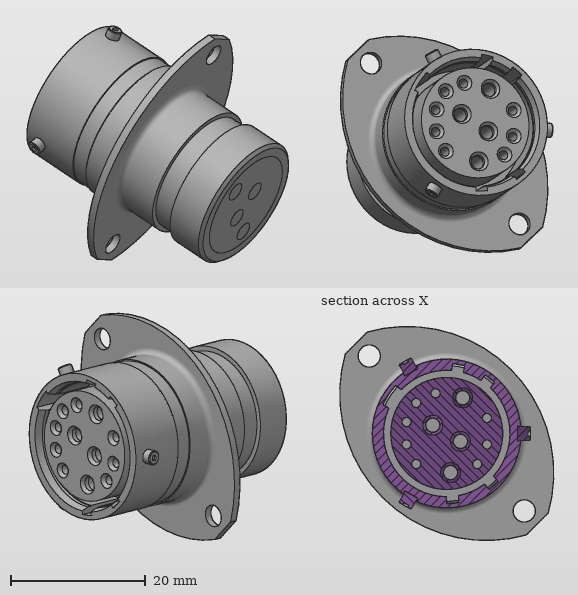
import cadquery as cq
import math


SHELL_LENGTH = 33.3
FRONT_RADIUS = 11.05
FRONT_GROOVE_RADIUS = 10.85
FRONT_GROOVE_START = 9.0
FRONT_GROOVE_END = 11.53
FLANGE_START = 16.0
FLANGE_THICKNESS = 1.2
FLANGE_END = FLANGE_START + FLANGE_THICKNESS
FLANGE_FILLET = 0.9
REAR_RADIUS = 10.25
REAR_GROOVE_RADIUS = 9.53
REAR_GROOVE_START = 23.88
REAR_GROOVE_END = 27.28
REAR_CHAMFER = 0.5

MOUTH_RADIUS = 9.85
THROAT_RADIUS = 9.45
SOCKET_RADIUS = 9.35
MOUTH_DEPTH = 1.15
THROAT_END = 1.85
SOCKET_DEPTH = 8.0
KEYWAY_RADIUS = 10.4
SHOULDER_CHAMFER = 0.33
KEYWAY_DEPTH = SOCKET_DEPTH + SHOULDER_CHAMFER
NARROW_KEYWAY_WIDTH = 1.75
WIDE_KEYWAY_WIDTH = 3.33
KEYWAYS = [
    (33.8, WIDE_KEYWAY_WIDTH),
    (99.8, NARROW_KEYWAY_WIDTH),
    (128.2, NARROW_KEYWAY_WIDTH),
    (227.8, NARROW_KEYWAY_WIDTH),
    (264.9, NARROW_KEYWAY_WIDTH),
]

FLANGE_ARC_RADIUS = 21.75
FLANGE_ARC_OFFSET = 5.85
FLANGE_TIP_DISTANCE = 19.0
MOUNTING_HOLE_RADIUS = 1.63
MOUNTING_HOLE_OFFSET = 11.5

PIN_COUNT = 3
PIN_STATION = 2.53
PIN_RADIUS = 1.05
PIN_ROOT = 10.53
PIN_TIP = 12.4
PIN_CHAMFER = 0.13
PIN_DIMPLE_RADIUS = 0.4
PIN_DIMPLE_DEPTH = 0.33

INSERT_RADIUS = 8.33
INSERT_FACE = 0.43
SHOULDER_RADIUS = KEYWAY_RADIUS
SHOULDER_THICKNESS = 2.0
SMALL_MOUTH_RADIUS = 1.13
SMALL_BORE_RADIUS = 0.65
SMALL_BORE_END = 6.65
LARGE_MOUTH_RADIUS = 1.43
LARGE_BORE_RADIUS = 1.03
LARGE_BORE_END = 6.65
MOUTH_TAPER_DEPTH = 0.55
CONTACT_START = 1.73
CONTACT_RADIUS = LARGE_MOUTH_RADIUS
LARGE_POSITIONS = [(-2.35, 5.3), (2.05, 1.23), (-2.03, -1.15), (-0.55, -5.8)]
SMALL_POSITIONS = [
    (1.65, 5.95),
    (4.53, 4.53),
    (5.95, 1.7),
    (5.95, -1.63),
    (4.53, -4.53),
    (-4.53, -4.53),
    (-5.95, -1.63),
    (-5.95, 2.3),
]


def axial_cylinder(radius, start, end, y=0.0, z=0.0):
    """Cylinder parallel to X between two stations."""
    return cq.Workplane("YZ", origin=(start, y, z)).circle(radius).extrude(end - start)


def axial_cone(start_radius, end_radius, start, end, y=0.0, z=0.0):
    """Truncated cone parallel to X between two stations."""
    base = cq.Vector(start, y, z)
    return cq.Workplane(cq.Solid.makeCone(start_radius, end_radius, end - start, base, cq.Vector(1, 0, 0)))


def make_barrel():
    """Turned outside of the shell, with both grooves and the concave blends into the flange."""
    blend = FLANGE_FILLET
    bulge = blend * (1 - math.sqrt(0.5))
    profile = (
        cq.Workplane("XY")
        .moveTo(0, 0)
        .lineTo(0, FRONT_RADIUS)
        .lineTo(FRONT_GROOVE_START, FRONT_RADIUS)
        .lineTo(FRONT_GROOVE_START, FRONT_GROOVE_RADIUS)
        .lineTo(FRONT_GROOVE_END, FRONT_GROOVE_RADIUS)
        .lineTo(FRONT_GROOVE_END, FRONT_RADIUS)
        .lineTo(FLANGE_START - blend, FRONT_RADIUS)
        .threePointArc(
            (FLANGE_START - bulge, FRONT_RADIUS + bulge),
            (FLANGE_START, FRONT_RADIUS + blend),
        )
        .lineTo(FLANGE_END, FRONT_RADIUS + blend)
        .lineTo(FLANGE_END, REAR_RADIUS + blend)
        .threePointArc(
            (FLANGE_END + bulge, REAR_RADIUS + bulge),
            (FLANGE_END + blend, REAR_RADIUS),
        )
        .lineTo(REAR_GROOVE_START, REAR_RADIUS)
        .lineTo(REAR_GROOVE_START, REAR_GROOVE_RADIUS)
        .lineTo(REAR_GROOVE_END, REAR_GROOVE_RADIUS)
        .lineTo(REAR_GROOVE_END, REAR_RADIUS)
        .lineTo(SHELL_LENGTH - REAR_CHAMFER, REAR_RADIUS)
        .lineTo(SHELL_LENGTH, REAR_RADIUS - REAR_CHAMFER)
        .lineTo(SHELL_LENGTH, 0)
        .close()
    )
    return profile.revolve(360, (0, 0, 0), (1, 0, 0))


def make_flange():
    """Lens-shaped flange with trimmed tips and two mounting holes on its long diagonal."""
    offset = FLANGE_ARC_OFFSET
    side_a = axial_cylinder(FLANGE_ARC_RADIUS, FLANGE_START, FLANGE_END, offset, -offset)
    side_b = axial_cylinder(FLANGE_ARC_RADIUS, FLANGE_START, FLANGE_END, -offset, offset)
    tips = (
        cq.Workplane("YZ", origin=(FLANGE_START, 0, 0))
        .rect(2 * FLANGE_TIP_DISTANCE, 2 * FLANGE_ARC_RADIUS)
        .extrude(FLANGE_THICKNESS)
        .rotate((0, 0, 0), (1, 0, 0), 45)
    )
    flange = side_a.intersect(side_b).intersect(tips)
    for sign in (1, -1):
        place = sign * MOUNTING_HOLE_OFFSET
        flange = flange.cut(axial_cylinder(MOUNTING_HOLE_RADIUS, FLANGE_START, FLANGE_END, place, place))
    return flange


def make_socket():
    """Hollow of the mating end: tapered mouth, stepped straight wall and keyways."""
    socket = axial_cone(MOUTH_RADIUS, THROAT_RADIUS, 0, MOUTH_DEPTH)
    socket = socket.union(axial_cylinder(THROAT_RADIUS, MOUTH_DEPTH, THROAT_END))
    socket = socket.union(axial_cylinder(SOCKET_RADIUS, THROAT_END, SOCKET_DEPTH))
    keyway_limit = axial_cylinder(KEYWAY_RADIUS, 0, KEYWAY_DEPTH)
    for angle, width in KEYWAYS:
        keyway = (
            cq.Workplane("XY")
            .box(KEYWAY_DEPTH, KEYWAY_RADIUS, width, centered=(False, False, True))
            .rotate((0, 0, 0), (1, 0, 0), angle)
        )
        socket = socket.union(keyway.intersect(keyway_limit))
    return socket


def make_pin(angle):
    """Bayonet pin standing radially in the shell wall, chamfered and dimpled at its tip."""
    return (
        cq.Workplane("XZ", origin=(PIN_STATION, -PIN_ROOT, 0))
        .circle(PIN_RADIUS)
        .extrude(PIN_TIP - PIN_ROOT)
        .faces("<Y")
        .chamfer(PIN_CHAMFER)
        .faces("<Y")
        .workplane(centerOption="CenterOfMass")
        .hole(2 * PIN_DIMPLE_RADIUS, PIN_DIMPLE_DEPTH)
        .rotate((0, 0, 0), (1, 0, 0), angle)
    )


def make_insert_blank():
    """Insert without its cavities: a cylinder with a chamfered shoulder closing the socket."""
    shoulder = (
        axial_cylinder(SHOULDER_RADIUS, SOCKET_DEPTH, SOCKET_DEPTH + SHOULDER_THICKNESS)
        .faces("<X")
        .chamfer(SHOULDER_CHAMFER)
    )
    return axial_cylinder(INSERT_RADIUS, INSERT_FACE, SHELL_LENGTH).union(shoulder)


def make_shell(pins):
    """One-piece shell, bored for the insert and with a seat for each bayonet pin."""
    shell = make_barrel().union(make_flange())
    shell = shell.cut(make_socket())
    shell = shell.cut(make_insert_blank())
    for pin in pins:
        shell = shell.cut(pin)
    return shell


def make_cavity(mouth_radius, bore_radius, bore_end, y, z):
    """Blind contact cavity with a tapered entry."""
    taper_end = INSERT_FACE + MOUTH_TAPER_DEPTH
    entry = axial_cone(mouth_radius, bore_radius, INSERT_FACE, taper_end, y, z)
    return entry.union(axial_cylinder(bore_radius, taper_end, bore_end, y, z))


def make_contact(y, z):
    """Tubular socket contact seated behind the entry of a large cavity."""
    body = axial_cylinder(CONTACT_RADIUS, CONTACT_START, SHELL_LENGTH, y, z)
    return body.cut(axial_cylinder(LARGE_BORE_RADIUS, CONTACT_START, LARGE_BORE_END, y, z))


def make_insert():
    """Insulating insert with small blind cavities and large cavities that hold the contacts."""
    insert = make_insert_blank()
    for y, z in SMALL_POSITIONS:
        insert = insert.cut(make_cavity(SMALL_MOUTH_RADIUS, SMALL_BORE_RADIUS, SMALL_BORE_END, y, z))
    for y, z in LARGE_POSITIONS:
        insert = insert.cut(make_cavity(LARGE_MOUTH_RADIUS, LARGE_BORE_RADIUS, CONTACT_START, y, z))
        insert = insert.cut(axial_cylinder(CONTACT_RADIUS, CONTACT_START, SHELL_LENGTH, y, z))
    return insert


pins = [make_pin(index * 360 / PIN_COUNT) for index in range(PIN_COUNT)]
contacts = [make_contact(y, z) for y, z in LARGE_POSITIONS]
insert = make_insert()
shell = make_shell(pins)

result = cq.Compound.makeCompound(
    [
        shell.val(),
        insert.val(),
        *[pin.val() for pin in pins],
        *[contact.val() for contact in contacts],
    ]
)